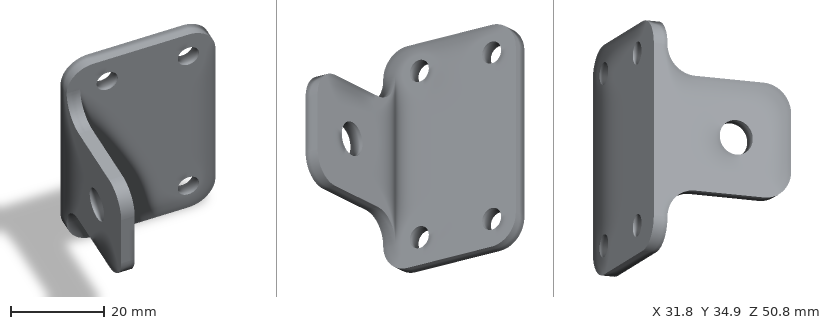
import cadquery as cq

plate_height = 50.8
reach = 31.75
corner_radius = 6.35
thickness = corner_radius / 2
plate_width = reach + thickness
tab_height = plate_height / 2
tab_hole_diameter = 7.6
tab_hole_x = 19.05
mount_hole_diameter = 5.0
mount_hole_spacing_y = 19.05
mount_hole_spacing_z = plate_height - 2 * corner_radius
mount_hole_center_y = plate_width - corner_radius - mount_hole_spacing_y / 2


def make_plate():
    """Upright mounting plate with rounded corners and four holes."""
    plate = (
        cq.Workplane("XY")
        .box(thickness, plate_width, plate_height, centered=(False, False, True))
        .edges("|X")
        .fillet(corner_radius)
    )
    holes = (
        cq.Workplane("YZ")
        .center(mount_hole_center_y, 0)
        .rect(mount_hole_spacing_y, mount_hole_spacing_z, forConstruction=True)
        .vertices()
        .circle(mount_hole_diameter / 2)
        .extrude(thickness)
    )
    return plate.cut(holes)


def make_tab():
    """Tab along the plate's -Y edge, flared at its root and rounded at its end."""
    half_tab = tab_height / 2
    root_half_height = half_tab + corner_radius
    tab = (
        cq.Workplane("XZ")
        .moveTo(0, -root_half_height)
        .lineTo(thickness, -root_half_height)
        .radiusArc((thickness + corner_radius, -half_tab), corner_radius)
        .lineTo(reach - corner_radius, -half_tab)
        .radiusArc((reach, corner_radius - half_tab), -corner_radius)
        .lineTo(reach, half_tab - corner_radius)
        .radiusArc((reach - corner_radius, half_tab), -corner_radius)
        .lineTo(thickness + corner_radius, half_tab)
        .radiusArc((thickness, root_half_height), corner_radius)
        .lineTo(0, root_half_height)
        .close()
        .extrude(-thickness)
    )
    hole = (
        cq.Workplane("XZ")
        .center(tab_hole_x, 0)
        .circle(tab_hole_diameter / 2)
        .extrude(-thickness)
    )
    return tab.cut(hole)


result = make_plate().union(make_tab())